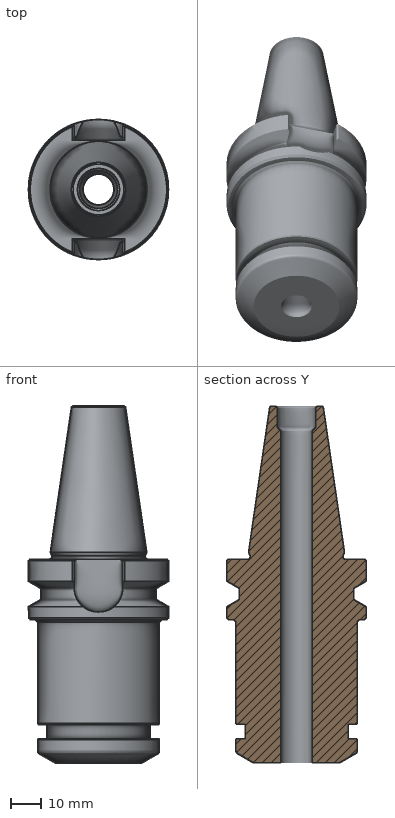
import cadquery as cq
import math

total_height = 117.4

taper_base_z = 69.3
taper_base_radius = 15.8
taper_slope = 7 / 48
tip_break = 0.5
relief_z = 68.2
relief_radius = 15.4
neck_root_radius = 0.7

flange_radius = 23.0
flange_break = 0.6
flange_top_z = 67.0
flange_bottom_z = 47.1
flange_bottom_break = 0.7
gripper_radius = 18.9
gripper_top_z = 57.4
gripper_bottom_z = 53.8
gripper_root_fillet = 0.5
gripper_wall_angle = math.radians(30)
gripper_wall_height = (flange_radius - gripper_radius) * math.tan(gripper_wall_angle)

body_radius = 40.0 / 2
body_root_break = 0.7
groove_radius = 34 / 2
groove_top_z = 12.7
groove_bottom_z = 8.1
groove_break = 0.4
nose_radius = 14.1
nose_angle = math.radians(30)
nose_height = (body_radius - nose_radius) * math.tan(nose_angle)
nose_edge_fillet = 1.2

bore_radius = 10.1 / 2
mouth_radius = 12.5 / 2
mouth_floor_z = 110.4
mouth_chamfer = 0.7

slot_radius = 8.0
slot_center_z = 57.6
slot_floor_offset = 16.2
slot_floor_fillet = 0.5
slot_height = total_height - slot_center_z


def ring_at(height):
    """Select the circular edge centred on the axis at the given height."""
    reach = 0.1
    return cq.selectors.BoxSelector((-reach, -reach, height - reach), (reach, reach, height + reach))


def turned_body():
    """Revolve the outer contour of the holder about Z."""
    top_radius = taper_base_radius - taper_slope * (total_height - taper_base_z)
    shoulder_radius = top_radius + taper_slope * tip_break
    contour = [
        (0, 0),
        (nose_radius, 0),
        (body_radius, nose_height),
        (body_radius, groove_bottom_z - groove_break),
        (body_radius - groove_break, groove_bottom_z),
        (groove_radius, groove_bottom_z),
        (groove_radius, groove_top_z),
        (body_radius - groove_break, groove_top_z),
        (body_radius, groove_top_z + groove_break),
        (body_radius, flange_bottom_z - body_root_break),
        (body_radius + body_root_break, flange_bottom_z),
        (flange_radius - flange_bottom_break, flange_bottom_z),
        (flange_radius, flange_bottom_z + flange_bottom_break),
        (flange_radius, gripper_bottom_z - gripper_wall_height),
        (gripper_radius, gripper_bottom_z),
        (gripper_radius, gripper_top_z),
        (flange_radius, gripper_top_z + gripper_wall_height),
        (flange_radius, flange_top_z - flange_break),
        (flange_radius - flange_break, flange_top_z),
        (relief_radius + neck_root_radius, flange_top_z),
    ]
    root_arc_offset = neck_root_radius * (1 - math.sqrt(0.5))
    profile = (
        cq.Workplane("XZ")
        .polyline(contour)
        .threePointArc(
            (relief_radius + root_arc_offset, flange_top_z + root_arc_offset),
            (relief_radius, flange_top_z + neck_root_radius),
        )
        .lineTo(relief_radius, relief_z)
        .lineTo(taper_base_radius, taper_base_z)
        .lineTo(shoulder_radius, total_height - tip_break)
        .lineTo(top_radius - tip_break, total_height)
        .lineTo(0, total_height)
        .close()
    )
    body = profile.revolve(360, (0, 0, 0), (0, 1, 0))
    body = body.edges(ring_at(nose_height)).fillet(nose_edge_fillet)
    for root_z in (gripper_bottom_z, gripper_top_z):
        body = body.edges(ring_at(root_z)).fillet(gripper_root_fillet)
    return body


def bore():
    """Stepped bore with a conical step and a chamfered mouth."""
    step = mouth_radius - bore_radius
    contour = [
        (0, 0),
        (bore_radius, 0),
        (bore_radius, mouth_floor_z - step),
        (mouth_radius, mouth_floor_z),
        (mouth_radius, total_height - mouth_chamfer),
        (mouth_radius + mouth_chamfer, total_height),
        (0, total_height),
    ]
    return cq.Workplane("XZ").polyline(contour).close().revolve(360, (0, 0, 0), (0, 1, 0))


def slot_prism(half_width, height):
    """Round-bottomed slot on the -Y side, running outward from its flat floor."""
    return (
        cq.Workplane("XZ", origin=(0, -slot_floor_offset, slot_center_z))
        .moveTo(-half_width, height)
        .lineTo(-half_width, 0)
        .threePointArc((0, -half_width), (half_width, 0))
        .lineTo(half_width, height)
        .close()
        .extrude(flange_radius)
    )


def slot_mouth_break():
    """Wedge that bevels the top edges of both slot walls."""
    half_width = slot_radius + flange_break
    contour = [
        (-slot_radius, flange_top_z - flange_break),
        (slot_radius, flange_top_z - flange_break),
        (half_width, flange_top_z),
        (-half_width, flange_top_z),
    ]
    return (
        cq.Workplane("XZ", origin=(0, -slot_floor_offset, 0))
        .polyline(contour)
        .close()
        .extrude(flange_radius)
    )


def slot_side_break():
    """Wedge that bevels the vertical outer edges of both slot walls."""
    corner_y = -math.sqrt(flange_radius**2 - (slot_radius + flange_break) ** 2)
    contour = [
        (-slot_radius, corner_y + flange_break),
        (slot_radius, corner_y + flange_break),
        (slot_radius + 2 * flange_break, corner_y - flange_break),
        (-slot_radius - 2 * flange_break, corner_y - flange_break),
    ]
    return (
        cq.Workplane("XY", origin=(0, 0, gripper_top_z))
        .polyline(contour)
        .close()
        .extrude(flange_top_z - gripper_top_z)
    )


def drive_slot():
    """Complete cutter for the -Y drive slot."""
    slot = slot_prism(slot_radius, slot_height)
    slot = slot.faces(">Y").edges("not >Z").fillet(slot_floor_fillet)
    return slot.union(slot_mouth_break()).union(slot_side_break())


result = turned_body().cut(bore())
for slot_angle in (0, 180):
    result = result.cut(drive_slot().rotate((0, 0, 0), (0, 0, 1), slot_angle))